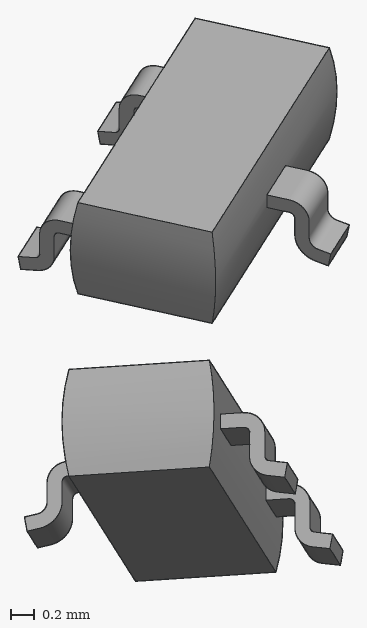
import cadquery as cq
import math

BODY_WIDTH = 1.30
BODY_LENGTH = 2.90
BODY_BOTTOM = 0.055
BODY_TOP = 1.00
BODY_BULGE = 0.05

LEAD_SPAN = 2.44
LEAD_THICKNESS = 0.13
LEAD_WIDTH = 0.445
LEAD_PITCH = 1.90
SHOULDER_TOP = 0.595
SHANK_OUTER_X = 1.027
SHOULDER_INNER_RADIUS = 0.05
FOOT_ANGLE = math.radians(10)
PAIR_FOOT_RADIUS = 0.05
SINGLE_FOOT_RADIUS = 0.10
LEAD_ROOT_X = 0.45

body_height = BODY_TOP - BODY_BOTTOM
body_middle = (BODY_TOP + BODY_BOTTOM) / 2


def barrel_prism(plane, width, depth):
    """Prism whose two sides bulge as arcs, extruded both ways from the plane."""
    half_width = width / 2
    half_flat = half_width - BODY_BULGE
    return (
        cq.Workplane(plane)
        .moveTo(-half_flat, BODY_BOTTOM)
        .lineTo(half_flat, BODY_BOTTOM)
        .threePointArc((half_width, body_middle), (half_flat, BODY_TOP))
        .lineTo(-half_flat, BODY_TOP)
        .threePointArc((-half_width, body_middle), (-half_flat, BODY_BOTTOM))
        .close()
        .extrude(depth / 2, both=True)
    )


def make_body():
    """Body with all four sides bulging, the common volume of two barrel prisms."""
    across = barrel_prism("XZ", BODY_WIDTH, BODY_LENGTH)
    along = barrel_prism("YZ", BODY_LENGTH, BODY_WIDTH)
    return across.intersect(along)


def on_circle(center, radius, angle):
    return (center[0] + radius * math.cos(angle), center[1] + radius * math.sin(angle))


def make_lead(foot_radius, y_center):
    """Lead on the +X side: shoulder, vertical shank and a foot that slopes down to Z = 0."""
    shoulder_bottom = SHOULDER_TOP - LEAD_THICKNESS
    shank_inner_x = SHANK_OUTER_X - LEAD_THICKNESS

    shoulder_outer_radius = SHOULDER_INNER_RADIUS + LEAD_THICKNESS
    shoulder_center = (
        shank_inner_x - SHOULDER_INNER_RADIUS,
        shoulder_bottom - SHOULDER_INNER_RADIUS,
    )
    shoulder_mid_angle = math.radians(45)

    tip_top = (LEAD_SPAN / 2, LEAD_THICKNESS * math.cos(FOOT_ANGLE))
    tip_bottom = (tip_top[0] - LEAD_THICKNESS * math.sin(FOOT_ANGLE), 0)

    foot_outer_radius = foot_radius + LEAD_THICKNESS
    foot_center_x = SHANK_OUTER_X + foot_radius
    foot_end_angle = math.radians(270) - FOOT_ANGLE
    foot_mid_angle = (math.pi + foot_end_angle) / 2
    bend_end_x = foot_center_x + foot_radius * math.cos(foot_end_angle)
    bend_end_z = tip_top[1] + (tip_top[0] - bend_end_x) * math.tan(FOOT_ANGLE)
    foot_center = (foot_center_x, bend_end_z - foot_radius * math.sin(foot_end_angle))

    profile = (
        cq.Workplane("XZ", origin=(0, y_center, 0))
        .moveTo(LEAD_ROOT_X, SHOULDER_TOP)
        .lineTo(shoulder_center[0], SHOULDER_TOP)
        .threePointArc(
            on_circle(shoulder_center, shoulder_outer_radius, shoulder_mid_angle),
            (SHANK_OUTER_X, shoulder_center[1]),
        )
        .lineTo(SHANK_OUTER_X, foot_center[1])
        .threePointArc(
            on_circle(foot_center, foot_radius, foot_mid_angle),
            on_circle(foot_center, foot_radius, foot_end_angle),
        )
        .lineTo(*tip_top)
        .lineTo(*tip_bottom)
        .lineTo(*on_circle(foot_center, foot_outer_radius, foot_end_angle))
        .threePointArc(
            on_circle(foot_center, foot_outer_radius, foot_mid_angle),
            (shank_inner_x, foot_center[1]),
        )
        .lineTo(shank_inner_x, shoulder_center[1])
        .threePointArc(
            on_circle(shoulder_center, SHOULDER_INNER_RADIUS, shoulder_mid_angle),
            (shoulder_center[0], shoulder_bottom),
        )
        .lineTo(LEAD_ROOT_X, shoulder_bottom)
        .close()
    )
    return profile.extrude(LEAD_WIDTH / 2, both=True)


result = make_body().union(make_lead(SINGLE_FOOT_RADIUS, 0))
for y_lead in (-LEAD_PITCH / 2, LEAD_PITCH / 2):
    result = result.union(make_lead(PAIR_FOOT_RADIUS, y_lead).mirror("YZ"))